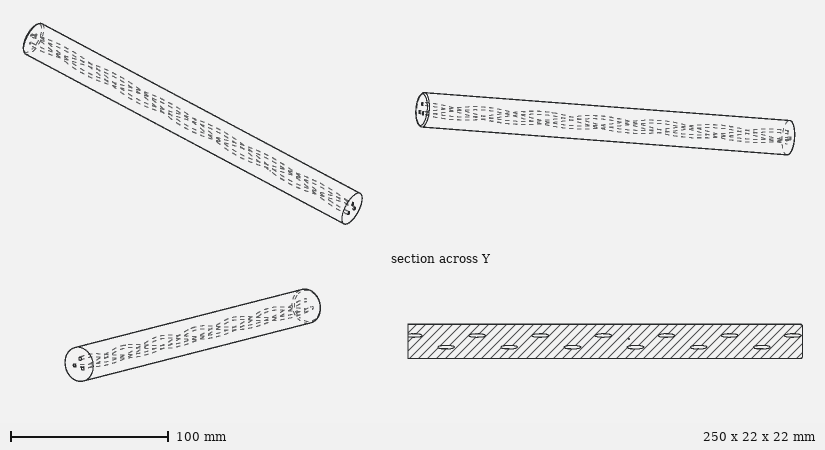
import cadquery as cq

length = 250
diameter = 22.0
chamfer = 1.0

channel_count = 3
channel_diameter = 2.0
channel_circle_radius = 3.8
first_channel_angle = 108
twist_pitch = 120
twist_angle = -360 * length / twist_pitch


def make_rod():
    rod = cq.Workplane("YZ").circle(diameter / 2).extrude(length)
    return rod.faces("<X").edges().chamfer(chamfer)


def make_channels():
    return (
        cq.Workplane("YZ")
        .polarArray(channel_circle_radius, first_channel_angle, 360, channel_count)
        .circle(channel_diameter / 2)
        .twistExtrude(length, twist_angle)
    )


result = make_rod().cut(make_channels())